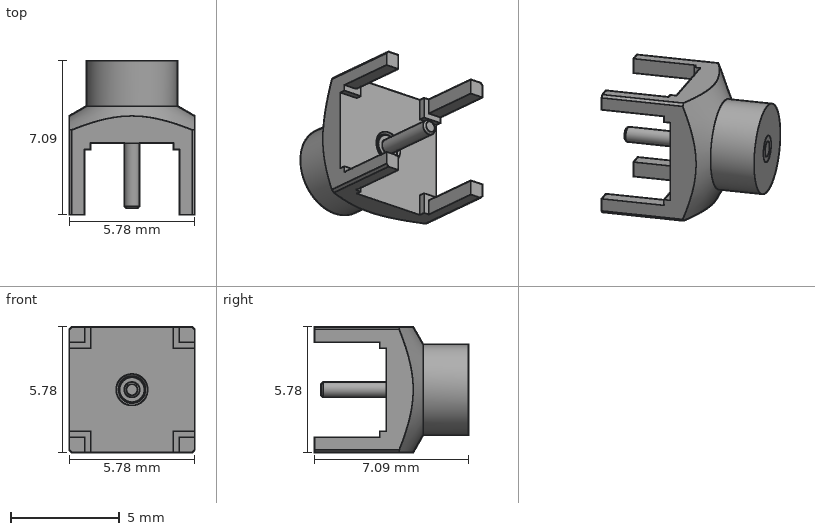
import cadquery as cq
import math


width = 5.78
corner_chamfer = 0.12
barrel_diameter = 4.2
barrel_length = 2.09
shoulder_angle = 30.0
overall_length = 7.09
leg_size = 0.71
leg_length = 3.0
standoff_size = 0.99
standoff_height = 0.3

bore_diameter = 1.24
countersink_diameter = 1.45
countersink_depth = (countersink_diameter - bore_diameter) / 2
insulator_recess = 0.025
insulator_chamfer = 0.05
pin_diameter = 0.71
pin_projection = 3.0
pin_chamfer = 0.1

leg_end_y = -(standoff_height + leg_length)
back_y = overall_length + leg_end_y
shoulder_y = back_y - barrel_length


def disc_along_y(diameter, start_y, end_y):
    """Cylinder on the connector axis between two Y positions."""
    plane = cq.Workplane("XZ", origin=(0, start_y, 0))
    return plane.circle(diameter / 2).extrude(start_y - end_y)


def corner_block(x_side, z_side, size, length):
    """Square bar in one corner of the section, running from the board face toward -Y."""
    center = width / 2 - size / 2
    plane = cq.Workplane("XZ").center(x_side * center, z_side * center)
    return plane.rect(size, size).extrude(length)


def make_envelope():
    """Barrel, conical shoulder and a straight round part wide enough for the square."""
    barrel_radius = barrel_diameter / 2
    outer_radius = width / math.sqrt(2)
    shoulder_drop = (outer_radius - barrel_radius) * math.tan(math.radians(shoulder_angle))
    profile = (
        cq.Workplane("XY")
        .moveTo(0, leg_end_y)
        .lineTo(outer_radius, leg_end_y)
        .lineTo(outer_radius, shoulder_y - shoulder_drop)
        .lineTo(barrel_radius, shoulder_y)
        .lineTo(barrel_radius, back_y)
        .lineTo(0, back_y)
        .close()
    )
    return profile.revolve(360, (0, 0, 0), (0, 1, 0))


def make_housing():
    body = cq.Workplane("XZ").rect(width, width).extrude(-back_y)
    for x_side in (-1, 1):
        for z_side in (-1, 1):
            body = body.union(corner_block(x_side, z_side, standoff_size, standoff_height))
            body = body.union(corner_block(x_side, z_side, leg_size, -leg_end_y))

    chamfered_section = (
        cq.Workplane("XZ", origin=(0, leg_end_y, 0))
        .rect(width, width)
        .extrude(-overall_length)
        .edges("|Y")
        .chamfer(corner_chamfer)
    )
    body = body.intersect(chamfered_section).intersect(make_envelope())

    bore = disc_along_y(bore_diameter, 0, back_y)
    countersink = (
        cq.Workplane("XZ")
        .circle(countersink_diameter / 2)
        .workplane(offset=-countersink_depth)
        .circle(bore_diameter / 2)
        .loft()
    )
    return body.cut(bore).cut(countersink)


def make_insulator():
    """Sleeve that fills the bore, standing up inside the countersink."""
    sleeve = disc_along_y(bore_diameter, insulator_recess, back_y)
    sleeve = sleeve.faces("<Y").chamfer(insulator_chamfer)
    return sleeve.cut(disc_along_y(pin_diameter, 0, back_y))


def make_pin():
    pin = disc_along_y(pin_diameter, -pin_projection, back_y)
    return pin.faces("<Y").chamfer(pin_chamfer)


housing = make_housing()
insulator = make_insulator()
pin = make_pin()

result = cq.Compound.makeCompound([housing.val(), insulator.val(), pin.val()])